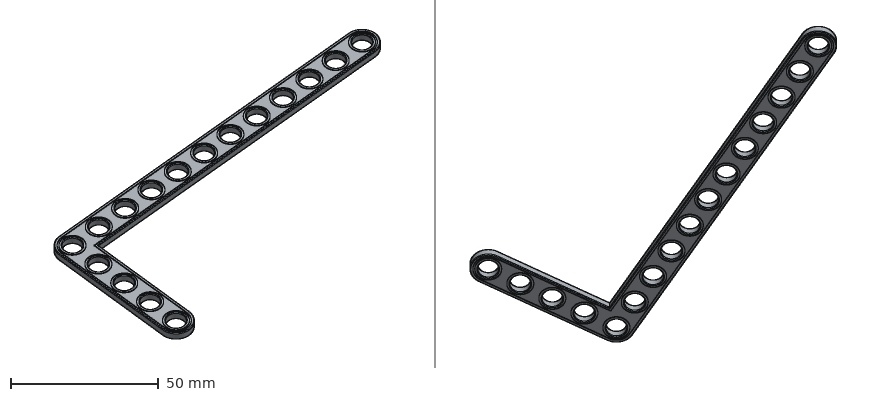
import cadquery as cq

length = 150.0
long_arm_holes = 12
short_arm_holes = 5
thickness = 3.2
hole_diameter = 7.0
collar_diameter = 9.2
edge_chamfer = 0.3
recess_depth = 0.3

pitch = length / long_arm_holes
rim_width = (collar_diameter - hole_diameter) / 2


def bar(hole_count, width, height):
    """Round-ended bar along X with its first hole centre at the origin."""
    span = (hole_count - 1) * pitch
    return cq.Workplane("XY").slot2D(span + width, width).extrude(height).translate((span / 2, 0, 0))


def angle_plate(width, height):
    """Two bars of the same width joined at right angles around the corner hole."""
    short_arm = bar(short_arm_holes, width, height)
    long_arm = bar(long_arm_holes, width, height).rotate((0, 0, 0), (0, 0, 1), 90)
    return short_arm.union(long_arm).clean()


def cylinders(diameter, height):
    """One cylinder at every hole centre; the two rows share the corner hole."""
    short_row = [(i * pitch, 0) for i in range(short_arm_holes)]
    long_row = [(0, i * pitch) for i in range(1, long_arm_holes)]
    return cq.Workplane("XY").pushPoints(short_row + long_row).circle(diameter / 2).extrude(height)


plate = angle_plate(pitch, thickness).cut(cylinders(hole_diameter, thickness))
plate = plate.faces("<Z or >Z").edges().chamfer(edge_chamfer)

recess = angle_plate(pitch - 2 * rim_width, recess_depth).cut(cylinders(collar_diameter, recess_depth))
top_recess = recess.translate((0, 0, thickness - recess_depth))

result = plate.cut(recess).cut(top_recess)